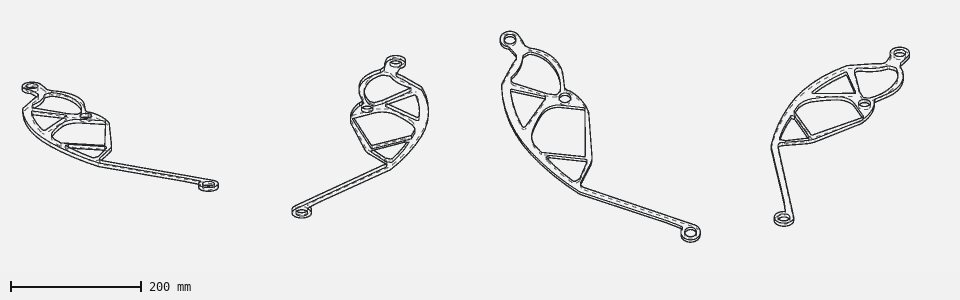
import cadquery as cq
import math

thickness = 6.3
hole_diameter = 18.0
eye_radius = 15.0

middle_eye_x = 140.0
right_eye_x = 460.0
eye_centers = [(0, 0), (middle_eye_x, 0), (right_eye_x, 0)]

lobe_top = (74.0, 32.1)
belly_bottom = (190.0, -103.89)

belly_left_radius = 220.0
belly_right_radius = 410.0
lobe_left_radius = 58.0
lobe_right_radius = 58.0

left_neck_angle = 80.5
arm_angle = 120.0


def eye_rim(center_x, angle):
    """Point on the rim of an eye."""
    turn = math.radians(angle)
    return (center_x + eye_radius * math.cos(turn), eye_radius * math.sin(turn))


def arc_below(crest, radius, x):
    """Point at x on the arc whose highest point is crest."""
    return (x, crest[1] - radius + math.sqrt(radius**2 - (x - crest[0]) ** 2))


def arc_above(trough, radius, x):
    """Point at x on the arc whose lowest point is trough."""
    return (x, trough[1] + radius - math.sqrt(radius**2 - (x - trough[0]) ** 2))


def plate(profile):
    """Close an outline and extrude it to the full thickness."""
    return profile.close().extrude(thickness)


def round_corners(body, corners):
    """Round the upright edge at each (point, radius)."""
    for (x, y), radius in corners:
        edge = cq.selectors.NearestToPointSelector((x, y, thickness / 2))
        body = body.edges("|Z").edges(edge).fillet(radius)
    return body


def discs(radius):
    """Full-thickness discs centred on the three eyes."""
    return cq.Workplane("XY").pushPoints(eye_centers).circle(radius).extrude(thickness)


def make_body():
    neck_bend = (14.0, 13.3)
    neck_dip = (23.5, 10.9)
    lobe_start = arc_below(lobe_top, lobe_left_radius, 32.0)
    lobe_left = arc_below(lobe_top, lobe_left_radius, 50.0)
    lobe_right = arc_below(lobe_top, lobe_right_radius, 90.0)
    lobe_end = arc_below(lobe_top, lobe_right_radius, 106.0)
    saddle_start = (125.0, 11.0)
    saddle_end = (131.0, 11.4)
    shoulder_start = (134.7, 14.3)
    shoulder_crest = (158.0, 17.5)
    shoulder_end = (184.2, 12.6)
    knee_start = (254.5, -34.1)
    knee_middle = (259.8, -38.9)
    knee_end = (264.0, -44.6)
    elbow = (286.7, -83.5)

    arm_tip = (441.5, -5.5)
    arm_bend = (420.6, -16.2)
    right_heel = arc_above(belly_bottom, belly_right_radius, 297.0)
    belly_right = arc_above(belly_bottom, belly_right_radius, 240.0)
    belly_left = arc_above(belly_bottom, belly_left_radius, 120.0)
    left_heel = arc_above(belly_bottom, belly_left_radius, 61.0)
    shin_bend = (39.8, -24.4)
    neck_corner = (34.0, -10.3)
    neck_foot = (9.0, neck_corner[1])

    profile = (
        cq.Workplane("XY")
        .moveTo(*eye_centers[0])
        .lineTo(*eye_rim(0, left_neck_angle))
        .lineTo(*neck_bend)
        .lineTo(*neck_dip)
        .lineTo(*lobe_start)
        .threePointArc(lobe_left, lobe_top)
        .threePointArc(lobe_right, lobe_end)
        .lineTo(*saddle_start)
        .lineTo(*saddle_end)
        .lineTo(*shoulder_start)
        .threePointArc(shoulder_crest, shoulder_end)
        .lineTo(*knee_start)
        .threePointArc(knee_middle, knee_end)
        .lineTo(*elbow)
        .lineTo(*eye_rim(right_eye_x, arm_angle))
        .lineTo(right_eye_x, 0)
        .lineTo(*arm_tip)
        .lineTo(*arm_bend)
        .lineTo(*right_heel)
        .threePointArc(belly_right, belly_bottom)
        .threePointArc(belly_left, left_heel)
        .lineTo(*shin_bend)
        .lineTo(*neck_corner)
        .lineTo(*neck_foot)
    )
    corners = [(neck_dip, 3.0), (elbow, 8.0), (left_heel, 10.0), (neck_corner, 9.0)]
    web = round_corners(plate(profile), corners)
    return web.union(discs(eye_radius))


def lobe_window():
    """Large opening under the lobe."""
    crest = (75.0, 22.6)
    crest_radius = 71.0
    left_low = (37.0, -3.0)
    left_high = (37.2, 9.0)
    left_arc_middle = (56.0, 20.3)
    right_arc_middle = arc_below(crest, crest_radius, 100.0)
    tip_high = arc_below(crest, crest_radius, 125.5)
    tip_low = (127.7, -6.9)
    brace_bend = (117.5, -17.0)
    bottom = (60.0, -52.0)
    shin_middle = (54.3, -25.5)
    shin_end = (43.9, -9.6)
    profile = (
        cq.Workplane("XY")
        .moveTo(*left_low)
        .lineTo(*left_high)
        .threePointArc(left_arc_middle, crest)
        .threePointArc(right_arc_middle, tip_high)
        .lineTo(*tip_low)
        .lineTo(*brace_bend)
        .lineTo(*bottom)
        .threePointArc(shin_middle, shin_end)
    )
    corners = [(left_low, 4.0), (left_high, 7.0), (tip_high, 5.0), (tip_low, 1.0), (bottom, 8.0)]
    return round_corners(plate(profile), corners)


def triangle_window():
    """Three-sided opening between the two braces below the middle eye."""
    top = (121.6, -21.5)
    right = (149.4, -86.2)
    left = (76.0, -56.7)
    base_middle = (109.0, -73.6)
    profile = (
        cq.Workplane("XY")
        .moveTo(*top)
        .lineTo(*right)
        .threePointArc(base_middle, left)
    )
    return round_corners(plate(profile), [(top, 2.5), (right, 3.0), (left, 2.0)])


def main_window():
    """Largest opening, between the middle eye and the thin strut."""
    apex = (173.7, 13.0)
    upper_bend = (235.9, -33.5)
    strut_top = (248.3, -42.8)
    floor_y = -91.3
    strut_foot = (201.0, floor_y)
    floor_start = (184.2, floor_y)
    lower_arc_middle = (172.0, -87.3)
    lower_arc_end = (162.0, -79.8)
    side_middle = (150.0, -62.0)
    side_end = (141.4, -45.1)
    upper_arc_middle = (139.3, -31.0)
    upper_arc_end = (146.8, -14.2)
    profile = (
        cq.Workplane("XY")
        .moveTo(*apex)
        .lineTo(*upper_bend)
        .lineTo(*strut_top)
        .lineTo(*strut_foot)
        .lineTo(*floor_start)
        .threePointArc(lower_arc_middle, lower_arc_end)
        .threePointArc(side_middle, side_end)
        .threePointArc(upper_arc_middle, upper_arc_end)
    )
    return round_corners(plate(profile), [(apex, 3.0), (strut_top, 1.5)])


def small_window():
    """Opening between the thin strut and the knee."""
    apex = (255.3, -42.6)
    right_x = 276.5
    right_high = (right_x, -74.6)
    right_low = (right_x, -84.7)
    base_middle = (245.0, -89.7)
    left_x = 213.0
    left_low = (left_x, -91.2)
    left_high = (left_x, -85.4)
    profile = (
        cq.Workplane("XY")
        .moveTo(*apex)
        .lineTo(*right_high)
        .lineTo(*right_low)
        .threePointArc(base_middle, left_low)
        .lineTo(*left_high)
    )
    return round_corners(plate(profile), [(apex, 3.5), (right_high, 3.0), (right_low, 3.5)])


body = make_body()
for window in (lobe_window(), triangle_window(), main_window(), small_window()):
    body = body.cut(window)
result = body.cut(discs(hole_diameter / 2))